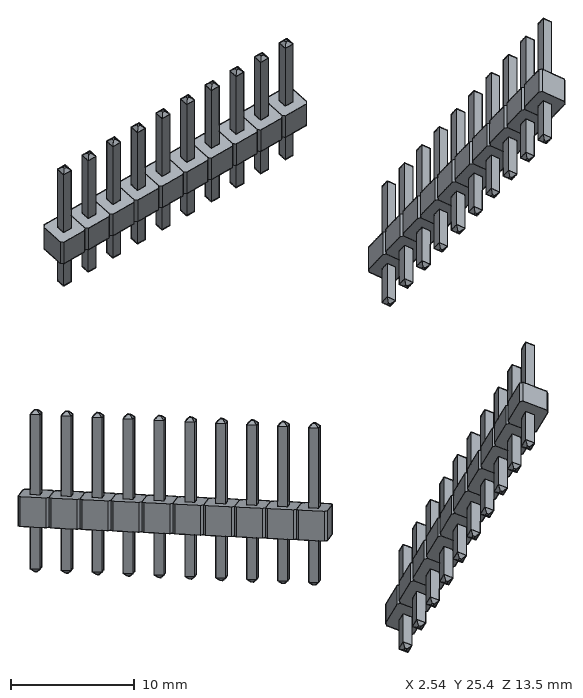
import cadquery as cq

row_length = 25.4
cell_count = 10
pitch = row_length / cell_count

block_height = 2.5
block_corner_chamfer = 0.2

pin_width = 0.81
pin_above_block = 6.98
pin_below_block = 4.01
pin_tip_chamfer = 0.3
pin_length = pin_below_block + block_height + pin_above_block


def make_block():
    """Square block standing on Z = 0, with its four upright edges chamfered."""
    block = cq.Workplane("XY").box(pitch, pitch, block_height, centered=(True, True, False))
    return block.edges("|Z").chamfer(block_corner_chamfer)


def make_pin():
    """Square pin with a blunt pyramid at each end."""
    pin = cq.Workplane("XY").box(pin_width, pin_width, pin_length, centered=(True, True, False))
    pin = pin.faces("<Z or >Z").chamfer(pin_tip_chamfer)
    return pin.translate((0, 0, -pin_below_block))


def make_cell(y_centre):
    """One header cell, block and pin in one piece, centred on the given Y."""
    return make_block().union(make_pin()).translate((0, y_centre, 0))


first_cell_y = -(row_length - pitch) / 2
cells = [make_cell(first_cell_y + index * pitch) for index in range(cell_count)]

result = cq.Compound.makeCompound([cell.solids().val() for cell in cells])